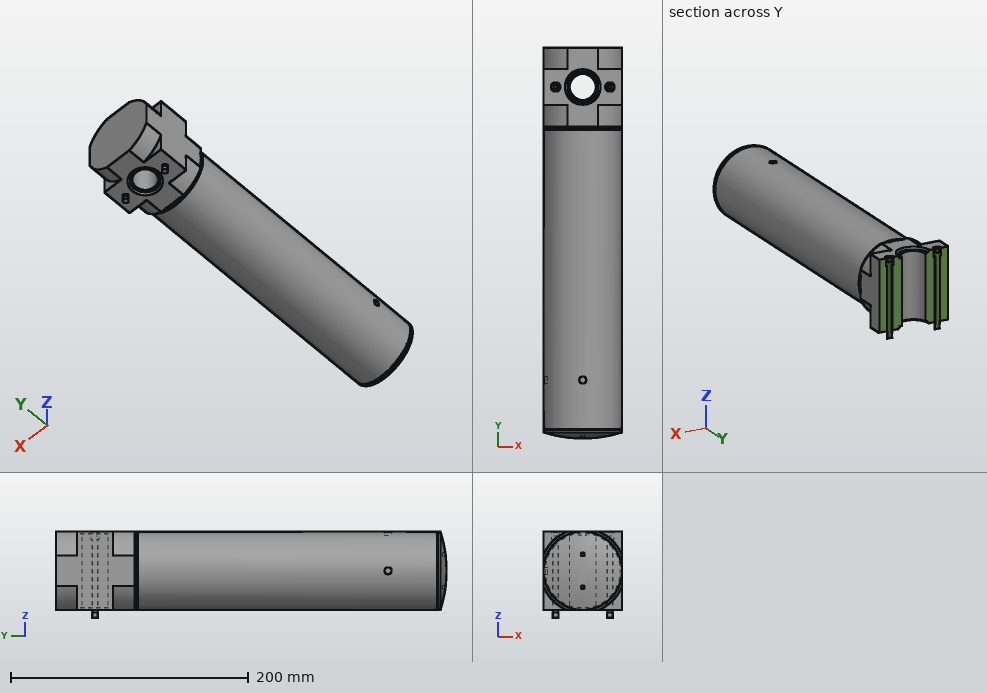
import cadquery as cq
import math

total_length = 329.0
width = 66.0
half_width = width / 2

head_length = width
head_middle_y = -head_length / 2
band_length = 30.5
corner_diameter = 71.0

port_diameter = 22.0
port_mouth_diameter = 30.0
port_mouth_depth = 1.5
port_counterbore_diameter = 26.0
port_counterbore_depth = 2.3

collar_length = 2.0
groove_width = 1.0
groove_diameter = 63.2
dome_height = 5.3
rim_end = total_length - dome_height
front_groove_start = rim_end - collar_length - groove_width

vent_diameter = 6.0
vent_depth = 3.3
vent_distance = 279.5
spanner_hole_diameter = 3.0
spanner_hole_depth = 3.5
spanner_hole_offset = 13.8

screw_spacing = 45.7
screw_head_diameter = 7.0
screw_head_length = 6.0
screw_head_recess = 1.0
screw_thread_diameter = 5.0
screw_neck_diameter = 4.3
screw_neck_exposed = 2.0
screw_protrusion = 6.5
socket_diameter = 3.0
socket_depth = 3.0
mouth_chamfer = 0.5
screw_head_top = half_width - screw_head_recess
screw_seat = screw_head_top - screw_head_length
screw_positions = [(side * screw_spacing / 2, head_middle_y) for side in (-1, 1)]


def rod_z(x, y, bottom, top, diameter):
    """Upright cylinder between two heights."""
    return cq.Workplane("XY", origin=(x, y, bottom)).circle(diameter / 2).extrude(top - bottom)


def cone_z(x, y, top, top_diameter, bottom_diameter, depth):
    """Upright cone frustum that runs down from the given height."""
    return cq.Workplane(
        cq.Solid.makeCone(
            top_diameter / 2, bottom_diameter / 2, depth,
            cq.Vector(x, y, top), cq.Vector(0, 0, -1),
        )
    )


def make_head():
    """Square block whose four long edges are rounded on both sides of the middle band."""
    block = cq.Workplane("XY").box(width, head_length, width).translate((0, head_middle_y, 0))
    rounding = cq.Workplane("XZ").circle(corner_diameter / 2).extrude(head_length)
    band = cq.Workplane("XY").box(width, band_length, width).translate((0, head_middle_y, 0))
    return block.intersect(rounding).union(band)


def make_round_body():
    """Grooved cylinder with a domed end, revolved about the Y axis."""
    groove_radius = groove_diameter / 2
    dome_radius = (half_width**2 + dome_height**2) / (2 * dome_height)
    half_angle = math.asin(half_width / dome_radius) / 2
    dome_middle = (
        dome_radius * math.sin(half_angle),
        -total_length + dome_radius * (1 - math.cos(half_angle)),
    )
    profile = cq.Workplane("XY").moveTo(0, -head_length).lineTo(half_width, -head_length)
    for start in (head_length + collar_length, front_groove_start):
        profile = (
            profile.lineTo(half_width, -start)
            .lineTo(groove_radius, -start)
            .lineTo(groove_radius, -start - groove_width)
            .lineTo(half_width, -start - groove_width)
        )
    profile = profile.lineTo(half_width, -rim_end).threePointArc(dome_middle, (0, -total_length))
    return profile.close().revolve(360, (0, 0, 0), (0, 1, 0))


def cut_port(body):
    """Through port with a chamfered counterbore at the top and bottom of the head."""
    counterbore_floor = half_width - port_counterbore_depth
    counterbore = rod_z(0, head_middle_y, counterbore_floor, half_width, port_counterbore_diameter)
    chamfer = cone_z(
        0, head_middle_y, half_width,
        port_mouth_diameter, port_counterbore_diameter, port_mouth_depth,
    )
    mouth = counterbore.union(chamfer)
    bore = rod_z(0, head_middle_y, -half_width, half_width, port_diameter)
    return body.cut(bore).cut(mouth).cut(mouth.mirror("XY"))


def cut_vents(body):
    """One blind vent in the top and one in the -X side of the round body."""
    vent_floor = half_width - vent_depth
    top_vent = rod_z(0, -vent_distance, vent_floor, half_width, vent_diameter)
    side_vent = top_vent.rotate((0, 0, 0), (0, 1, 0), -90)
    return body.cut(top_vent).cut(side_vent)


def cut_spanner_holes(body):
    """Two small blind holes in the dome."""
    hole_floor = -total_length + spanner_hole_depth
    for side in (-1, 1):
        hole = (
            cq.Workplane("XZ", origin=(0, hole_floor, side * spanner_hole_offset))
            .circle(spanner_hole_diameter / 2)
            .extrude(spanner_hole_depth)
        )
        body = body.cut(hole)
    return body


def cut_screw_hole(body, x, y):
    """Through hole with a counterbore for the screw head and a chamfered mouth."""
    mouth_diameter = screw_head_diameter + 2 * mouth_chamfer
    shank_hole = rod_z(x, y, -half_width, screw_seat, screw_thread_diameter)
    counterbore = rod_z(x, y, screw_seat, half_width, screw_head_diameter)
    mouth = cone_z(x, y, half_width, mouth_diameter, screw_head_diameter, mouth_chamfer)
    return body.cut(shank_hole).cut(counterbore).cut(mouth)


def make_housing():
    body = make_head().union(make_round_body())
    body = cut_port(body)
    body = cut_vents(body)
    body = cut_spanner_holes(body)
    for x, y in screw_positions:
        body = cut_screw_hole(body, x, y)
    return body


def make_screw(x, y):
    """Socket-head screw with a thin neck above its thick threaded end."""
    thread_bottom = -half_width - screw_protrusion
    thread_top = -half_width - screw_neck_exposed
    thread = rod_z(x, y, thread_bottom, thread_top, screw_thread_diameter)
    neck = rod_z(x, y, thread_top, screw_seat, screw_neck_diameter)
    head = rod_z(x, y, screw_seat, screw_head_top, screw_head_diameter)
    socket = rod_z(x, y, screw_head_top - socket_depth, screw_head_top, socket_diameter)
    return thread.union(neck).union(head).cut(socket)


housing = make_housing()
screws = [make_screw(x, y) for x, y in screw_positions]
result = cq.Compound.makeCompound([housing.val(), *[screw.val() for screw in screws]])